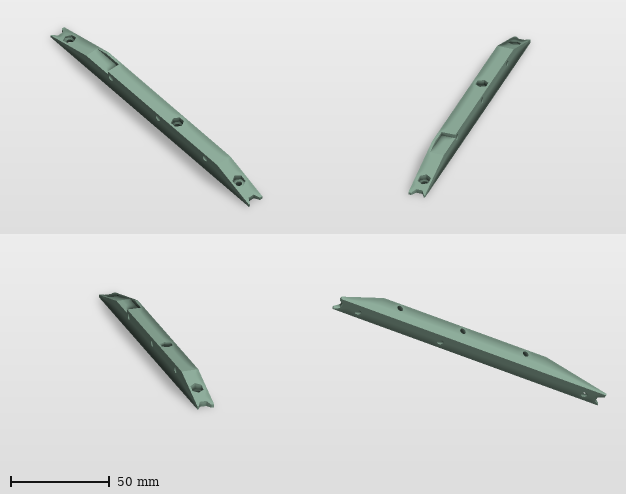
import cadquery as cq
import math

length = 154.5
width = 9.0
height = 11.0
left_ramp_length = 34.9
left_ramp_angle = 15.5
right_ramp_length = 24.9
right_ramp_angle = 20.5

step_end = 44.5
step_depth = 2.0
step_wall = 1.5

hole_diameter = 3.2
hole_line_y = -0.5
vertical_hole_xs = (10.0, 94.1, 142.0)
cross_hole_first_x = 47.0
cross_hole_spacing = 36.6
cross_hole_count = 3
cross_hole_z = height - 3.0

nut_across_flats = 5.9
nut_across_corners = nut_across_flats / math.cos(math.radians(30))
nut_floor_zs = (2.0, 7.9, 4.3)


def left_ramp_height(x):
    return height - (left_ramp_length - x) * math.tan(math.radians(left_ramp_angle))


def right_ramp_height(x):
    ramp_start = length - right_ramp_length
    return height - (x - ramp_start) * math.tan(math.radians(right_ramp_angle))


def top_height(x):
    return min(height, left_ramp_height(x), right_ramp_height(x))


def make_bar():
    profile = [
        (0, 0),
        (length, 0),
        (length, top_height(length)),
        (length - right_ramp_length, height),
        (left_ramp_length, height),
        (0, top_height(0)),
    ]
    return cq.Workplane("XZ").polyline(profile).close().extrude(width / 2, both=True)


def make_step():
    """The floor runs out through the left ramp."""
    step_width = width - step_wall
    return (
        cq.Workplane("XY")
        .box(step_end, step_width, step_depth, centered=False)
        .translate((0, -width / 2, height - step_depth))
    )


def make_nut_prism(x, bottom, rotation):
    """Hexagon reaching past the top; at zero rotation its corners point along X."""
    return (
        cq.Workplane("XY")
        .polygon(6, nut_across_corners)
        .extrude(height)
        .rotate((0, 0, 0), (0, 0, 1), rotation)
        .translate((x, hole_line_y, bottom))
    )


def make_vertical_hole(x):
    return cq.Workplane("XY").center(x, hole_line_y).circle(hole_diameter / 2).extrude(height)


def make_cross_holes():
    centres = [(cross_hole_first_x + i * cross_hole_spacing, cross_hole_z) for i in range(cross_hole_count)]
    return cq.Workplane("XZ").pushPoints(centres).circle(hole_diameter / 2).extrude(width, both=True)


result = make_bar().cut(make_step()).cut(make_cross_holes())

for hole_x, floor_z in zip(vertical_hole_xs, nut_floor_zs):
    result = result.cut(make_vertical_hole(hole_x))
    result = result.cut(make_nut_prism(hole_x, floor_z, 0))

for end_x in (0, length):
    result = result.cut(make_nut_prism(end_x, 0, 30))